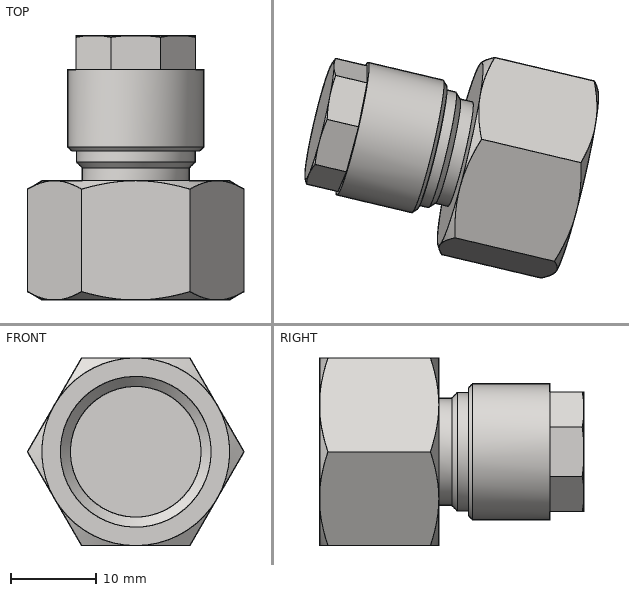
import cadquery as cq
import math

nut_across_flats = 22.0
nut_length = 13.98
nut_chamfer_angle = 30.0

recess_mouth_diameter = 17.67
recess_floor_diameter = 15.3
recess_cone_depth = (recess_mouth_diameter - recess_floor_diameter) / 2
recess_depth = 1.55

neck_diameter = 12.6
collar_diameter = 13.95
collar_chamfer = (collar_diameter - neck_diameter) / 2
collar_start = 15.5

sleeve_diameter = 16.0
sleeve_chamfer = 0.5
sleeve_start = 17.45
sleeve_end = 27.0

octagon_across_flats = 14.0
octagon_chamfer_angle = 20.0
total_length = 31.0


def revolve_about_y(points):
    """Revolve a closed (radius, y) outline around the Y axis."""
    return cq.Workplane("XY").polyline(points).close().revolve(360, (0, 0, 0), (0, 1, 0))


def prism(sides, across_flats, start, end, turn=0):
    """Regular prism along Y; at turn = 0 one corner points along +X."""
    corner_diameter = across_flats / math.cos(math.pi / sides)
    bar = cq.Workplane("XZ").polygon(sides, corner_diameter).extrude(start - end)
    return bar.rotate((0, 0, 0), (0, 1, 0), turn).translate((0, start, 0))


def corner_drop(sides, across_flats, angle):
    """Axial length of a corner chamfer whose cone starts at the inscribed circle."""
    flat_radius = across_flats / 2
    corner_radius = flat_radius / math.cos(math.pi / sides)
    return (corner_radius - flat_radius) * math.tan(math.radians(angle))


def make_nut():
    sides = 6
    flat_radius = nut_across_flats / 2
    corner_radius = flat_radius / math.cos(math.pi / sides)
    drop = corner_drop(sides, nut_across_flats, nut_chamfer_angle)
    envelope = revolve_about_y([
        (0, 0),
        (flat_radius, 0),
        (corner_radius, drop),
        (corner_radius, nut_length - drop),
        (flat_radius, nut_length),
        (0, nut_length),
    ])
    return prism(sides, nut_across_flats, 0, nut_length).intersect(envelope)


def make_recess():
    floor_radius = recess_floor_diameter / 2
    return revolve_about_y([
        (0, 0),
        (recess_mouth_diameter / 2, 0),
        (floor_radius, recess_cone_depth),
        (floor_radius, recess_depth),
        (0, recess_depth),
    ])


def make_shank():
    """Neck, chamfered collar and chamfered sleeve as one turned body."""
    neck_radius = neck_diameter / 2
    collar_radius = collar_diameter / 2
    sleeve_radius = sleeve_diameter / 2
    return revolve_about_y([
        (0, nut_length),
        (neck_radius, nut_length),
        (neck_radius, collar_start),
        (collar_radius, collar_start + collar_chamfer),
        (collar_radius, sleeve_start),
        (sleeve_radius - sleeve_chamfer, sleeve_start),
        (sleeve_radius, sleeve_start + sleeve_chamfer),
        (sleeve_radius, sleeve_end),
        (0, sleeve_end),
    ])


def make_octagon_end():
    sides = 8
    flat_radius = octagon_across_flats / 2
    corner_radius = flat_radius / math.cos(math.pi / sides)
    drop = corner_drop(sides, octagon_across_flats, octagon_chamfer_angle)
    envelope = revolve_about_y([
        (0, sleeve_end),
        (corner_radius, sleeve_end),
        (corner_radius, total_length - drop),
        (flat_radius, total_length),
        (0, total_length),
    ])
    half_step = 180 / sides
    return prism(sides, octagon_across_flats, sleeve_end, total_length, half_step).intersect(envelope)


result = make_nut().union(make_shank()).union(make_octagon_end()).cut(make_recess())